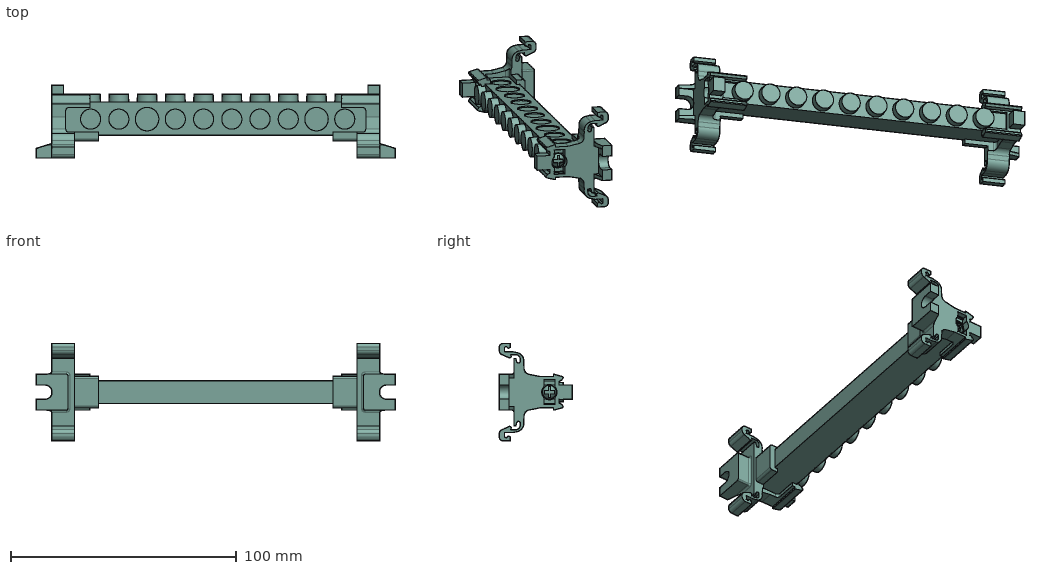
import cadquery as cq

LENGTH = 159.0
DEPTH = 32.37
HEIGHT = 43.2

BAR_FRONT = 10.1
BAR_DEPTH = 14.8
BAR_HEIGHT = 10.2
BAR_BACK = BAR_FRONT + BAR_DEPTH
BAR_TOP = BAR_HEIGHT / 2
TERMINAL_COUNT = 10
TERMINAL_PITCH = 12.5
FIRST_TERMINAL_X = -55.4
TERMINAL_Y = 17.3
TERMINAL_DIA = 8.9
LARGE_TERMINAL_DIA = 10.4
LARGE_TERMINALS = (2, 8)
TERMINAL_RECESS_DEPTH = 0.5
SCREW_DIA = 8.9
SCREW_TAPER = 3.0
SCREW_BACK = 28.4

TAB_LEFT = -LENGTH / 2
BRACKET_LEFT = -72.7
BRACKET_WIDTH = 10.2
BRACKET_RIGHT = BRACKET_LEFT + BRACKET_WIDTH
PLATE_FRONT = 6.5
PLATE_HALF_HEIGHT = 14.9
HOOK_RADIUS = 1.7

BAR_WINDOW_LEFT = -66.4
BAR_WINDOW_FRONT = 11.5
BAR_WINDOW_BACK = 22.5
BAR_WINDOW_CORNER = 1.4
JAW_RIGHT = -55.7
JAW_GAP = 3.9

BLOCK_WIDTH = 5.4
BLOCK_HALF_HEIGHT = 3.2
BLOCK_FRONT = 26.0

CLIP_RIGHT = -51.9
CLIP_FRONT = 7.6
CLIP_HALF_HEIGHT = 7.1
CLIP_EDGE_RADIUS = 1.0

TAB_RIGHT = -65.5
TAB_HALF_HEIGHT = 7.95
TAB_THICKNESS = 4.4
TAB_CORNER_RADIUS = 0.6
TAB_BASE_FILLET = 0.95
TAB_RELIEF_HALF_HEIGHT = 6.35
SLOT_RADIUS = 3.1
SLOT_CENTRE_X = -75.6

SCREW_WINDOW_Y = 22.2
SCREW_WINDOW_WIDTH = 4.8
SCREW_WINDOW_HEIGHT = 11.1
SCREW_WINDOW_DEPTH = 3.0
LEDGE_DEPTH = 2.2
LEDGE_HALF_HEIGHT = 5.0
PIT_DEPTH = 3.4
PIT_HALF_HEIGHT = 3.1
CLEARANCE_RADIUS = 3.4
HEAD_RADIUS = 3.05
HEAD_RISE = 2.2
CROSS_ARM_LENGTH = 4.4
CROSS_ARM_WIDTH = 1.5
CROSS_POST_LENGTH = 4.8
CROSS_POST_WIDTH = 0.9
CROSS_DEPTH = 1.2


def centred_box(x0, x1, y0, y1, half_height):
    """Block from (x0, y0) to (x1, y1), placed evenly about the Z = 0 plane."""
    block = cq.Workplane("XY").box(x1 - x0, y1 - y0, 2 * half_height, centered=(False, False, True))
    return block.translate((x0, y0, 0))


def both_halves(upper):
    """A body and its mirror image below the Z = 0 plane."""
    return upper.union(upper.mirror("XY"))


def make_bar():
    """Rectangular bar with shallow round marks on top and screws at the back."""
    bar = centred_box(BAR_WINDOW_LEFT, -BAR_WINDOW_LEFT, BAR_FRONT, BAR_BACK, BAR_TOP)
    for index in range(TERMINAL_COUNT):
        x = FIRST_TERMINAL_X + index * TERMINAL_PITCH
        diameter = LARGE_TERMINAL_DIA if index in LARGE_TERMINALS else TERMINAL_DIA
        recess = (
            cq.Workplane("XY", origin=(x, TERMINAL_Y, BAR_TOP))
            .circle(diameter / 2)
            .extrude(-TERMINAL_RECESS_DEPTH)
        )
        screw = (
            cq.Workplane("XZ", origin=(x, BAR_BACK, 0))
            .circle(SCREW_DIA / 2)
            .extrude(BAR_BACK - SCREW_BACK, taper=SCREW_TAPER)
        )
        bar = bar.cut(recess).union(screw)
    return bar


def upper_profile(x_end):
    """Upper half of the bracket section, with rear jaw and spring hook, extruded to x_end."""
    top = HEIGHT / 2
    return (
        cq.Workplane("YZ", origin=(BRACKET_LEFT, 0, 0))
        .moveTo(PLATE_FRONT, 0)
        .lineTo(26.5, 0)
        .lineTo(26.5, 4.7)
        .lineTo(27.8, 5.4)
        .lineTo(28.4, 6.5)
        .lineTo(28.0, 6.95)
        .lineTo(24.4, 7.95)
        .lineTo(24.0, 7.95)
        .lineTo(24.0, 6.95)
        .lineTo(18.2, 6.95)
        .lineTo(12.9, 8.0)
        .threePointArc((11.65, 8.9), (11.05, 10.8))
        .lineTo(10.9, 13.0)
        .threePointArc((10.1, 16.2), (7.9, 17.55))
        .lineTo(6.0, 17.95)
        .lineTo(2.4, 17.95)
        .lineTo(2.4, 19.8)
        .lineTo(3.2, 20.2)
        .lineTo(4.0, 19.3)
        .lineTo(5.0, 19.8)
        .lineTo(5.0, top)
        .lineTo(HOOK_RADIUS, top)
        .tangentArcPoint((0, top - HOOK_RADIUS), relative=False)
        .lineTo(0, 18.4)
        .tangentArcPoint((1.17, 16.6), relative=False)
        .lineTo(4.6, 15.07)
        .lineTo(5.4, 15.6)
        .lineTo(5.2, 16.55)
        .lineTo(7.6, 16.55)
        .threePointArc((8.8, 15.9), (9.25, 14.6))
        .lineTo(9.25, 13.5)
        .threePointArc((8.5, 12.95), (7.8, 13.4))
        .lineTo(7.4, PLATE_HALF_HEIGHT)
        .lineTo(PLATE_FRONT, PLATE_HALF_HEIGHT)
        .close()
        .extrude(x_end - BRACKET_LEFT)
    )


def make_body():
    """Plate, rear jaws and rear block, with the opening that receives the bar."""
    plate = both_halves(upper_profile(BRACKET_RIGHT))
    jaws = both_halves(upper_profile(JAW_RIGHT)).intersect(
        centred_box(BRACKET_LEFT, JAW_RIGHT, BAR_WINDOW_BACK, DEPTH, HEIGHT)
    )
    window = (
        centred_box(BAR_WINDOW_LEFT, 0, BAR_WINDOW_FRONT, BAR_WINDOW_BACK, HEIGHT)
        .edges("|Z and <X")
        .fillet(BAR_WINDOW_CORNER)
    )
    bar_space = centred_box(BAR_WINDOW_LEFT, 0, BAR_FRONT, BAR_BACK, BAR_TOP)
    jaw_gap = centred_box(BAR_WINDOW_LEFT, 0, BAR_BACK, DEPTH, JAW_GAP)
    block = centred_box(BRACKET_LEFT, BRACKET_LEFT + BLOCK_WIDTH, BLOCK_FRONT, DEPTH, BLOCK_HALF_HEIGHT)
    return plate.union(jaws).cut(window).cut(bar_space).cut(jaw_gap).union(block)


def make_front_clip():
    """Block that wraps the front edge of the bar beside the plate."""
    return (
        centred_box(BRACKET_RIGHT, CLIP_RIGHT, CLIP_FRONT, BAR_WINDOW_FRONT, CLIP_HALF_HEIGHT)
        .edges("|X and <Y")
        .fillet(CLIP_EDGE_RADIUS)
    )


def make_tab():
    """Mounting tab before slotting, filleted onto the plate and tapered on its overhanging back."""
    tab = (
        centred_box(TAB_LEFT, TAB_RIGHT, 0, PLATE_FRONT, TAB_HALF_HEIGHT)
        .edges("|Y and >X")
        .fillet(TAB_CORNER_RADIUS)
    )
    slab = centred_box(2 * TAB_LEFT, 0, PLATE_FRONT, BAR_FRONT, HEIGHT / 2)
    margin = TAB_CORNER_RADIUS
    base_edges = cq.selectors.BoxSelector(
        (TAB_LEFT - margin, PLATE_FRONT - margin, -TAB_HALF_HEIGHT - margin),
        (TAB_RIGHT + margin, PLATE_FRONT + margin, TAB_HALF_HEIGHT + margin),
    )
    tab = tab.union(slab).edges(base_edges).fillet(TAB_BASE_FILLET)
    outline = (
        cq.Workplane("XY")
        .moveTo(TAB_LEFT, 0)
        .lineTo(BRACKET_RIGHT, 0)
        .lineTo(BRACKET_RIGHT, PLATE_FRONT)
        .lineTo(BRACKET_LEFT, PLATE_FRONT)
        .lineTo(TAB_LEFT, TAB_THICKNESS)
        .close()
        .extrude(HEIGHT / 2, both=True)
    )
    relief = centred_box(TAB_LEFT, BRACKET_LEFT, TAB_THICKNESS, PLATE_FRONT, TAB_RELIEF_HALF_HEIGHT)
    return tab.intersect(outline).cut(relief)


def make_tab_slot():
    """Round-ended slot, open at the free end of the tab, cut through the tab only."""
    slot_end = cq.Workplane("XZ", origin=(SLOT_CENTRE_X, 0, 0)).circle(SLOT_RADIUS).extrude(-TAB_THICKNESS)
    return centred_box(TAB_LEFT, SLOT_CENTRE_X, 0, PLATE_FRONT, SLOT_RADIUS).union(slot_end)


def make_screw_window():
    """Void of the screw window: a stepped rectangle with round clearance, less the domed cross-head screw."""

    def window_box(depth, width, half_height, start=0.0):
        return centred_box(
            BRACKET_LEFT + start,
            BRACKET_LEFT + depth,
            SCREW_WINDOW_Y - width / 2,
            SCREW_WINDOW_Y + width / 2,
            half_height,
        )

    centre = (BRACKET_LEFT, SCREW_WINDOW_Y, 0)
    clearance = cq.Workplane("YZ", origin=centre).circle(CLEARANCE_RADIUS).extrude(PIT_DEPTH)
    void = (
        window_box(LEDGE_DEPTH, SCREW_WINDOW_WIDTH, SCREW_WINDOW_HEIGHT / 2)
        .union(window_box(SCREW_WINDOW_DEPTH, SCREW_WINDOW_WIDTH, LEDGE_HALF_HEIGHT))
        .union(window_box(PIT_DEPTH, SCREW_WINDOW_WIDTH, PIT_HALF_HEIGHT))
        .union(clearance)
    )
    head_top = PIT_DEPTH - HEAD_RISE
    sphere_radius = (HEAD_RADIUS**2 + HEAD_RISE**2) / (2 * HEAD_RISE)
    head = (
        cq.Workplane("XY")
        .sphere(sphere_radius)
        .translate((BRACKET_LEFT + head_top + sphere_radius, SCREW_WINDOW_Y, 0))
    )
    cross_floor = head_top + CROSS_DEPTH
    cross = window_box(cross_floor, CROSS_ARM_LENGTH, CROSS_ARM_WIDTH / 2, head_top).union(
        window_box(cross_floor, CROSS_POST_WIDTH, CROSS_POST_LENGTH / 2, head_top)
    )
    return void.cut(head).union(cross)


def make_bracket():
    """Complete end bracket for the -X end."""
    return (
        make_body()
        .union(make_front_clip())
        .union(make_tab())
        .cut(make_tab_slot())
        .cut(make_screw_window())
    )


bracket = make_bracket()
result = make_bar().union(bracket).union(bracket.mirror("YZ"))